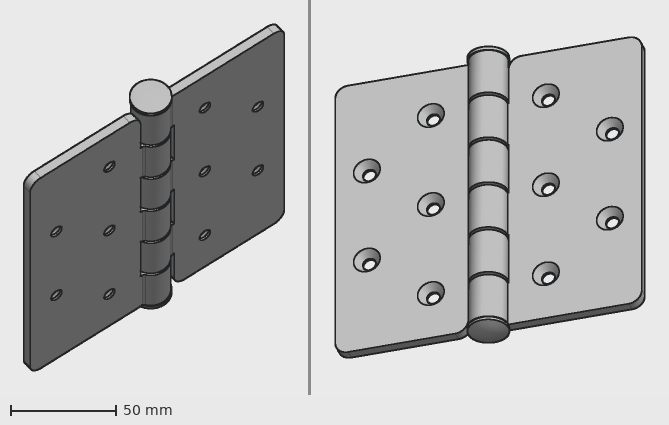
import cadquery as cq
import math


overall_height = 160.5

height = 152.4
open_width = 152.4
thickness = 5.1
corner_radius = 6.5

knuckle_count = 6
knuckle_gap = 1.6
root_radius = 1.6
barrel_diameter = 19.1
pin_diameter = 12.7
cap_diameter = 20.0
cap_rim = 2.0

hole_diameter = 6.5
sink_diameter = 13.2
sink_angle = 82.0
inner_row = 28.6
outer_row = 60.4
hole_pitch = 50.9
screw_points = [(inner_row, step * hole_pitch) for step in (-1, 0, 1)]
screw_points += [(outer_row, step * hole_pitch) for step in (-0.5, 0.5)]

half_height = height / 2
barrel_radius = barrel_diameter / 2
pin_radius = pin_diameter / 2
cap_radius = cap_diameter / 2
dome_rise = overall_height / 2 - half_height - cap_rim
inner_edge = cap_radius
outer_edge = open_width / 2
knuckle_length = (height - (knuckle_count - 1) * knuckle_gap) / knuckle_count
knuckle_pitch = knuckle_length + knuckle_gap
own_knuckles = range(0, knuckle_count, 2)


def cylinder(radius, bottom, length):
    """Upright cylinder on the pin axis."""
    return cq.Workplane("XY").workplane(offset=bottom).circle(radius).extrude(length)


def plate():
    """Flat plate on the +Y side; its corner beside the top knuckle stays square."""
    body = cq.Workplane("XY").box(
        thickness, outer_edge - inner_edge, height, centered=(False, False, True)
    ).translate((0, inner_edge, 0))
    body = body.edges("|X and >Y").fillet(corner_radius)
    return body.edges("|X and <Y and <Z").fillet(corner_radius)


def knuckle(index):
    """Solid knuckle with the tang that joins it to the plate."""
    bottom = half_height - index * knuckle_pitch - knuckle_length
    tang = cq.Workplane("XY").box(thickness, inner_edge, knuckle_length, centered=False)
    body = cylinder(barrel_radius, bottom, knuckle_length).union(tang.translate((0, 0, bottom)))
    root_y = math.sqrt(barrel_radius**2 - thickness**2)
    root = cq.selectors.NearestToPointSelector((thickness, root_y, bottom + knuckle_length / 2))
    return body.edges("|Z").edges(root).fillet(root_radius)


def cap():
    """Domed cap on the top end of the barrel: an upright cylinder trimmed by a ball."""
    dome_radius = (cap_radius**2 + dome_rise**2) / (2 * dome_rise)
    ball_center = overall_height / 2 - dome_radius
    ball = cq.Workplane("XY").sphere(dome_radius).translate((0, 0, ball_center))
    return cylinder(cap_radius, half_height, cap_rim + dome_rise).intersect(ball)


def screw_holes():
    """Countersunk through holes, sunk from the X = 0 face."""
    sink_depth = (sink_diameter - hole_diameter) / 2 / math.tan(math.radians(sink_angle / 2))
    profile = [
        (0, 0),
        (sink_diameter / 2, 0),
        (hole_diameter / 2, sink_depth),
        (hole_diameter / 2, thickness),
        (0, thickness),
    ]
    cutter = cq.Workplane("XY").polyline(profile).close().revolve(360, (0, 0, 0), (0, 1, 0))
    cutter = cutter.rotate((0, 0, 0), (0, 0, 1), -90)
    holes = cq.Workplane("XY")
    for y, z in screw_points:
        holes = holes.add(cutter.translate((0, y, z)))
    return holes.combine()


def leaf():
    """One hinge leaf, with its half of the pin running from the middle to the top cap."""
    body = plate()
    for index in own_knuckles:
        body = body.union(knuckle(index))
    body = body.cut(cylinder(pin_radius, -half_height, half_height))
    body = body.union(cylinder(pin_radius, 0, half_height))
    body = body.union(cap())
    return body.cut(screw_holes())


leaves = []
for turn in (0, 180):
    leaves.append(leaf().rotate((0, 0, 0), (1, 0, 0), turn).solids().val())

result = cq.Compound.makeCompound(leaves)